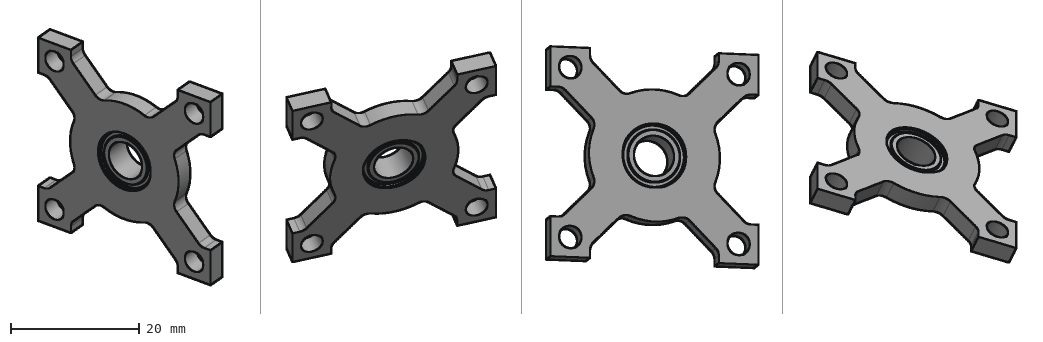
import cadquery as cq
import math

overall_size = 33.27
plate_thickness = 3.175
pad_size = 6.35
arm_width = 6.35
disc_diameter = 20.955
corner_radius = 1.5875
screw_hole_diameter = 3.556
arm_angles = (45, 135, 225, 315)

total_depth = 5.08
lip_thickness = 0.3175
lip_diameter = 10.16
flange_diameter = 15.24
outer_ring_diameter = 12.7
shield_diameter = 10.1
shield_chamfer = 0.2
shield_recess = 0.35
inner_ring_diameter = 8.4
inner_ring_chamfer = 0.1
bore_diameter = 6.4

pad_offset = (overall_size - pad_size) / 2
pad_centre_distance = pad_offset * math.sqrt(2)
pad_centres = [(sx * pad_offset, sz * pad_offset) for sx in (-1, 1) for sz in (-1, 1)]


def front_plane(depth=0):
    """XZ sketch plane whose extrusions run toward +Y, starting at the given depth."""
    return cq.Workplane(cq.Plane(origin=(0, depth, 0), xDir=(1, 0, 0), normal=(0, -1, 0)))


def cylinder(diameter, start, end):
    """Cylinder on the part axis from y = start to y = end."""
    return front_plane(start).circle(diameter / 2).extrude(start - end)


def is_inner_corner(edge):
    """True for the edges where an arm meets the disc or its pad, which all lie inside the outer square."""
    centre = edge.Center()
    return max(abs(centre.x), abs(centre.z)) < overall_size / 2 - corner_radius


def make_plate():
    """Disc with four diagonal arms ending in screw pads, and a bearing seat closed by a thin front lip."""
    plate = cylinder(disc_diameter, 0, plate_thickness)
    for angle in arm_angles:
        arm = front_plane().transformed(rotate=(0, 0, angle)).center(pad_centre_distance / 2, 0)
        plate = plate.union(arm.rect(pad_centre_distance, arm_width).extrude(-plate_thickness))
    pad_sketch = front_plane().pushPoints(pad_centres)
    plate = plate.union(pad_sketch.rect(pad_size, pad_size).extrude(-plate_thickness))
    inner_corners = [edge for edge in plate.edges("|Y").vals() if is_inner_corner(edge)]
    plate = plate.newObject(inner_corners).fillet(corner_radius)
    screw_holes = pad_sketch.circle(screw_hole_diameter / 2).extrude(-plate_thickness)
    lip_opening = cylinder(lip_diameter, 0, lip_thickness)
    bearing_seat = cylinder(outer_ring_diameter, lip_thickness, plate_thickness)
    return plate.cut(screw_holes).cut(lip_opening).cut(bearing_seat)


def make_outer_ring():
    """Outer ring stopped by the plate's lip, with a flange against the plate's back face."""
    ring = cylinder(outer_ring_diameter, lip_thickness, total_depth)
    flange = cylinder(flange_diameter, plate_thickness, total_depth)
    return ring.union(flange).cut(cylinder(shield_diameter, lip_thickness, total_depth))


def make_shield():
    """Ring between the outer and inner rings, recessed from both of their end faces."""
    shield = cylinder(shield_diameter, lip_thickness + shield_recess, total_depth - shield_recess)
    shield = shield.faces("<Y or >Y").edges().chamfer(shield_chamfer)
    return shield.cut(cylinder(inner_ring_diameter, lip_thickness, total_depth))


def make_inner_ring():
    """Ring with the shaft bore, chamfered at both outer edges."""
    ring = cylinder(inner_ring_diameter, lip_thickness, total_depth)
    ring = ring.faces("<Y or >Y").edges().chamfer(inner_ring_chamfer)
    return ring.cut(cylinder(bore_diameter, lip_thickness, total_depth))


plate = make_plate()
outer_ring = make_outer_ring()
shield = make_shield()
inner_ring = make_inner_ring()

result = cq.Compound.makeCompound([plate.val(), outer_ring.val(), shield.val(), inner_ring.val()])